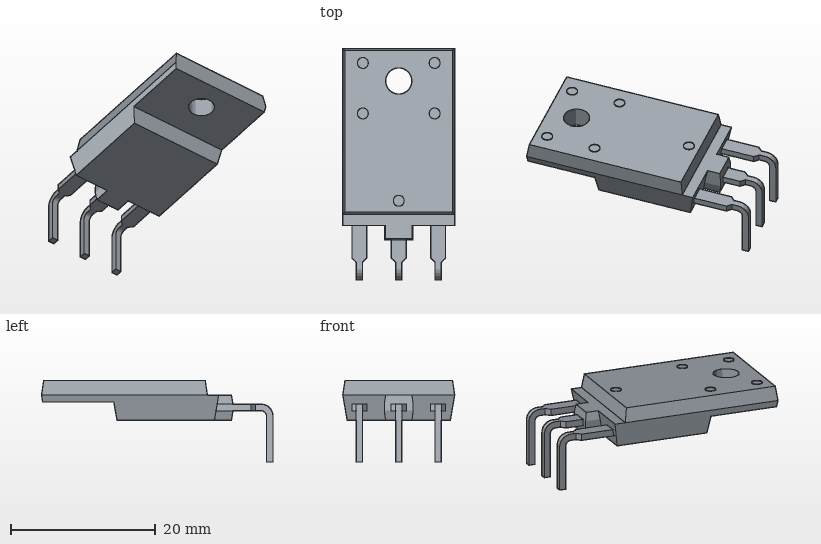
import cadquery as cq


WIDTH = 15.5
BACK_Y = 24.52
UPPER_FRONT_Y = 1.55
TOP_Z = 2.05
BOTTOM_Z = -3.5
UPPER_INSET = 0.305
LOWER_SIDE_INSET = 0.6
LOWER_END_INSET = 0.58

TAB_BOTTOM_Z = -0.95
STEP_TOP_Y = 14.52
STEP_BOTTOM_Y = 14.07
MOUNT_HOLE_DIAMETER = 3.6
MOUNT_HOLE_Y = 20.0

DISC_DIAMETER = 1.5
DISC_THICKNESS = 0.2
DISC_SINK = 0.1
DISC_X = 4.97
DISC_CENTRES = [
    (-DISC_X, 22.5),
    (DISC_X, 22.5),
    (-DISC_X, 15.5),
    (DISC_X, 15.5),
    (0, 3.43),
]

LEAD_PITCH = 5.45
LEAD_THICKNESS = 0.93
LEAD_TOP_Z = -1.25
LEAD_WIDE = 2.08
LEAD_NARROW = 0.9
LEAD_BACK_Y = 1.6
LEAD_TAPER_Y = -4.5
LEAD_FRONT_Y = -7.53
LEAD_END_Z = -9.25
BEND_OUTER_RADIUS = 1.65
LEAD_BOTTOM_Z = LEAD_TOP_Z - LEAD_THICKNESS

COLLAR_WIDTH = 4.0
COLLAR_FRONT_Y = -2.0
COLLAR_BACK_Y = 0.7
COLLAR_INSET = 0.2


def level_rectangle(width, front_y, back_y, z):
    """Rectangular wire, centred on X, at height z."""
    half = width / 2
    corners = [(-half, front_y, z), (half, front_y, z), (half, back_y, z), (-half, back_y, z)]
    return cq.Wire.makePolygon([cq.Vector(*corner) for corner in corners], close=True)


def drafted_block(base, end):
    """Solid with flat drafted sides between two (width, front_y, back_y, z) rectangles."""
    return cq.Workplane(cq.Solid.makeLoft([level_rectangle(*base), level_rectangle(*end)], True))


def make_shell():
    upper = drafted_block(
        (WIDTH, UPPER_FRONT_Y, BACK_Y, 0),
        (WIDTH - 2 * UPPER_INSET, UPPER_FRONT_Y + UPPER_INSET, BACK_Y - UPPER_INSET, TOP_Z),
    )
    lower = drafted_block(
        (WIDTH, 0, BACK_Y, 0),
        (WIDTH - 2 * LOWER_SIDE_INSET, LOWER_END_INSET, BACK_Y - LOWER_END_INSET, BOTTOM_Z),
    )
    step = (
        cq.Workplane("YZ")
        .polyline([
            (STEP_TOP_Y, TAB_BOTTOM_Z),
            (BACK_Y, TAB_BOTTOM_Z),
            (BACK_Y, BOTTOM_Z),
            (STEP_BOTTOM_Y, BOTTOM_Z),
        ])
        .close()
        .extrude(WIDTH / 2, both=True)
    )
    return upper.union(lower.cut(step))


def make_collar():
    """Straight band level with the leads, drafted above and below it."""
    full = (COLLAR_WIDTH, COLLAR_FRONT_Y, COLLAR_BACK_Y)
    reduced = (COLLAR_WIDTH - 2 * COLLAR_INSET, COLLAR_FRONT_Y + COLLAR_INSET, COLLAR_BACK_Y)
    band = drafted_block((*full, LEAD_BOTTOM_Z), (*full, LEAD_TOP_Z))
    above = drafted_block((*full, LEAD_TOP_Z), (*reduced, 0))
    below = drafted_block((*full, LEAD_BOTTOM_Z), (*reduced, BOTTOM_Z))
    return band.union(above).union(below)


def make_mount_hole():
    return (
        cq.Workplane("XY", origin=(0, MOUNT_HOLE_Y, BOTTOM_Z))
        .circle(MOUNT_HOLE_DIAMETER / 2)
        .extrude(TOP_Z - BOTTOM_Z)
    )


def make_disc(x, y, top_z, thickness):
    return cq.Workplane("XY", origin=(x, y, top_z)).circle(DISC_DIAMETER / 2).extrude(-thickness)


def make_lead(x):
    """Side profile with a round bend, trimmed to the plan outline that narrows before the bend."""
    side = (
        cq.Workplane("YZ")
        .moveTo(LEAD_BACK_Y, LEAD_TOP_Z)
        .lineTo(LEAD_FRONT_Y + BEND_OUTER_RADIUS, LEAD_TOP_Z)
        .radiusArc((LEAD_FRONT_Y, LEAD_TOP_Z - BEND_OUTER_RADIUS), -BEND_OUTER_RADIUS)
        .lineTo(LEAD_FRONT_Y, LEAD_END_Z)
        .lineTo(LEAD_FRONT_Y + LEAD_THICKNESS, LEAD_END_Z)
        .lineTo(LEAD_FRONT_Y + LEAD_THICKNESS, LEAD_TOP_Z - BEND_OUTER_RADIUS)
        .radiusArc(
            (LEAD_FRONT_Y + BEND_OUTER_RADIUS, LEAD_BOTTOM_Z),
            BEND_OUTER_RADIUS - LEAD_THICKNESS,
        )
        .lineTo(LEAD_BACK_Y, LEAD_BOTTOM_Z)
        .close()
        .extrude(LEAD_WIDE / 2, both=True)
    )
    half_wide = LEAD_WIDE / 2
    half_narrow = LEAD_NARROW / 2
    narrow_y = LEAD_TAPER_Y - (half_wide - half_narrow)
    plan = (
        cq.Workplane("XY", origin=(0, 0, LEAD_END_Z))
        .polyline([
            (-half_wide, LEAD_BACK_Y),
            (half_wide, LEAD_BACK_Y),
            (half_wide, LEAD_TAPER_Y),
            (half_narrow, narrow_y),
            (half_narrow, LEAD_FRONT_Y),
            (-half_narrow, LEAD_FRONT_Y),
            (-half_narrow, narrow_y),
            (-half_wide, LEAD_TAPER_Y),
        ])
        .close()
        .extrude(LEAD_TOP_Z - LEAD_END_Z)
    )
    return side.intersect(plan).translate((x, 0, 0))


leads = [make_lead(position * LEAD_PITCH) for position in (-1, 0, 1)]
discs = [make_disc(x, y, TOP_Z - DISC_SINK, DISC_THICKNESS) for x, y in DISC_CENTRES]

housing = make_shell().union(make_collar()).cut(make_mount_hole())
for x, y in DISC_CENTRES:
    housing = housing.cut(make_disc(x, y, TOP_Z, DISC_SINK + DISC_THICKNESS))
for lead in leads:
    housing = housing.cut(lead)

result = cq.Compound.makeCompound([
    housing.solids().val(),
    *[lead.solids().val() for lead in leads],
    *[disc.val() for disc in discs],
])